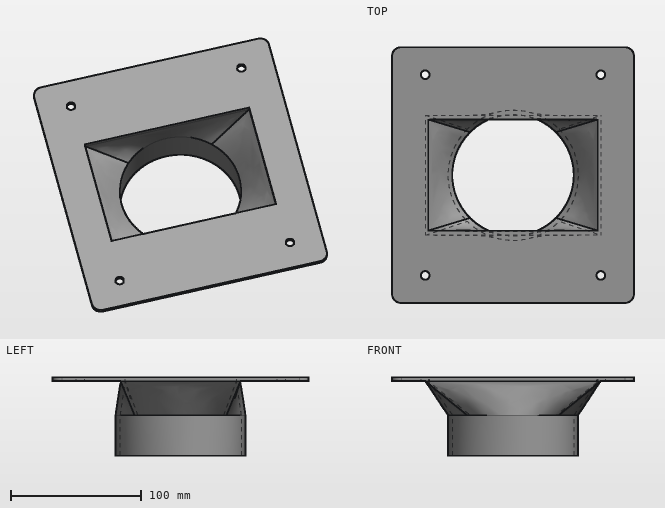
import cadquery as cq
import math

plate_x = 185.3
plate_y = 196.0
plate_thickness = 3.1
plate_corner_radius = 7.0

hole_diameter = 6.5
hole_spacing_x = 134.5
hole_spacing_y = 153.6

opening_x = 129.7
opening_y = 85.0
funnel_x = 134.0
funnel_y = 91.7

collar_outer_diameter = 99.7
collar_inner_diameter = 92.9
collar_height = 31.3

total_height = 60.3
plate_bottom = total_height - plate_thickness


def rectangle_wire(size_x, size_y, z):
    """Rectangle of four lines, starting at the -X, -Y corner."""
    x = size_x / 2
    y = size_y / 2
    return (
        cq.Workplane("XY", origin=(0, 0, z))
        .polyline([(-x, -y), (x, -y), (x, y), (-x, y)])
        .close()
        .val()
    )


def four_arc_circle_wire(diameter, z):
    """Circle split on its diagonals so each arc pairs with a rectangle side."""
    radius = diameter / 2
    diagonal = radius * math.sqrt(0.5)
    return (
        cq.Workplane("XY", origin=(0, 0, z))
        .moveTo(-diagonal, -diagonal)
        .threePointArc((0, -radius), (diagonal, -diagonal))
        .threePointArc((radius, 0), (diagonal, diagonal))
        .threePointArc((0, radius), (-diagonal, diagonal))
        .threePointArc((-radius, 0), (-diagonal, -diagonal))
        .wire()
        .val()
    )


def duct_body(diameter, size_x, size_y):
    """Solid cylinder topped by a transition from round to rectangular."""
    cylinder = cq.Workplane("XY").circle(diameter / 2).extrude(collar_height)
    transition = cq.Solid.makeLoft(
        [
            four_arc_circle_wire(diameter, collar_height),
            rectangle_wire(size_x, size_y, plate_bottom),
        ],
        True,
    )
    return cylinder.union(cq.Workplane(transition))


def mounting_plate():
    """Rounded plate with four screw holes and the rectangular opening."""
    plate = (
        cq.Workplane("XY", origin=(0, 0, plate_bottom))
        .rect(plate_x, plate_y)
        .extrude(plate_thickness)
        .edges("|Z")
        .fillet(plate_corner_radius)
    )
    return (
        plate.faces(">Z")
        .workplane()
        .rect(hole_spacing_x, hole_spacing_y, forConstruction=True)
        .vertices()
        .hole(hole_diameter)
        .faces(">Z")
        .workplane()
        .rect(opening_x, opening_y)
        .cutThruAll()
    )


duct_outside = duct_body(collar_outer_diameter, funnel_x, funnel_y)
duct_inside = duct_body(collar_inner_diameter, opening_x, opening_y)
duct = duct_outside.cut(duct_inside)

result = mounting_plate().union(duct)